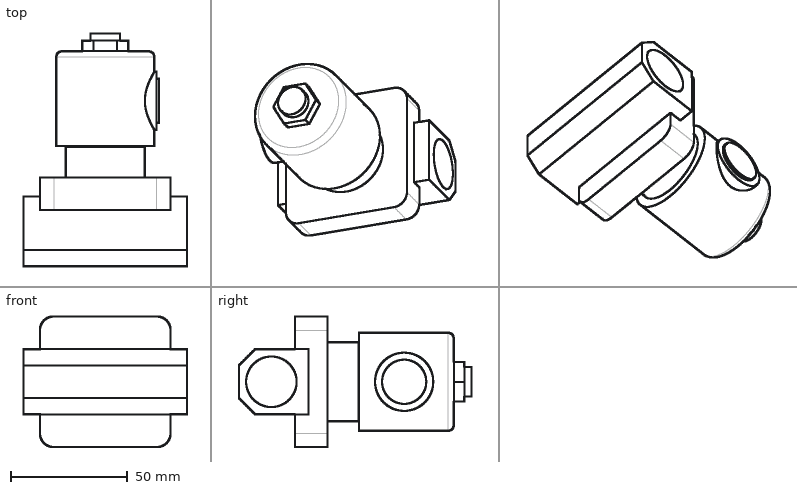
import cadquery as cq


block_length = 70.0
block_height = 27.9
block_back_y = 29.9
block_chamfer = 7.0
port_diameter = 21.6
port_center_y = block_height / 2
port_depth = 12.8
plate_side = 56.0
plate_corner_radius = 6.0
plate_front_y = 24.0
plate_back_y = 38.0
neck_diameter = 33.9
neck_gap = 0.2

coil_diameter = 42.1
coil_front_y = 51.4
coil_back_y = 92.0
coil_rim_fillet = 2.5
connector_diameter = 24.9
connector_reach = 21.9
connector_face_diameter = 18.9
connector_face_reach = 23.0
connector_center_y = 70.8
nut_across_corners = 19.7
nut_back_y = 96.5
stud_diameter = 12.8
stud_back_y = 99.7


def plane_at_y(y):
    """Plane facing +Y, with its local X along global X."""
    return cq.Plane(origin=(0, y, 0), xDir=(1, 0, 0), normal=(0, 1, 0))


def cylinder_along_y(diameter, start_y, end_y):
    return cq.Workplane(plane_at_y(start_y)).circle(diameter / 2).extrude(end_y - start_y)


def cylinder_along_x(diameter, center_y, start_x, end_x):
    return (
        cq.Workplane("YZ", origin=(start_x, center_y, 0))
        .circle(diameter / 2)
        .extrude(end_x - start_x)
    )


def make_block():
    block = cq.Workplane("XY").box(
        block_length, block_back_y, block_height, centered=(True, False, True)
    )
    return block.faces("<Y").edges("|X").chamfer(block_chamfer)


def make_plate():
    plate = (
        cq.Workplane(plane_at_y(plate_front_y))
        .rect(plate_side, plate_side)
        .extrude(plate_back_y - plate_front_y)
    )
    return plate.edges("|Y").fillet(plate_corner_radius)


def make_valve_body():
    neck = cylinder_along_y(neck_diameter, plate_back_y, coil_front_y - neck_gap)
    body = make_block().union(make_plate()).union(neck)
    for side in (-1, 1):
        mouth_x = side * block_length / 2
        floor_x = mouth_x - side * port_depth
        port = cylinder_along_x(
            port_diameter, port_center_y, min(mouth_x, floor_x), max(mouth_x, floor_x)
        )
        body = body.cut(port)
    return body


def make_nut():
    return (
        cq.Workplane(plane_at_y(coil_back_y))
        .polygon(6, nut_across_corners)
        .extrude(nut_back_y - coil_back_y)
    )


def make_actuator():
    coil = cylinder_along_y(coil_diameter, coil_front_y, coil_back_y)
    coil = coil.faces(">Y").edges().fillet(coil_rim_fillet)
    connector = cylinder_along_x(connector_diameter, connector_center_y, 0, connector_reach)
    connector_face = cylinder_along_x(
        connector_face_diameter, connector_center_y, 0, connector_face_reach
    )
    stud = cylinder_along_y(stud_diameter, nut_back_y, stud_back_y)
    return (
        coil.union(connector)
        .union(connector_face)
        .union(make_nut())
        .union(stud)
    )


valve_body = make_valve_body()
actuator = make_actuator()
result = cq.Compound.makeCompound([valve_body.val(), actuator.val()])